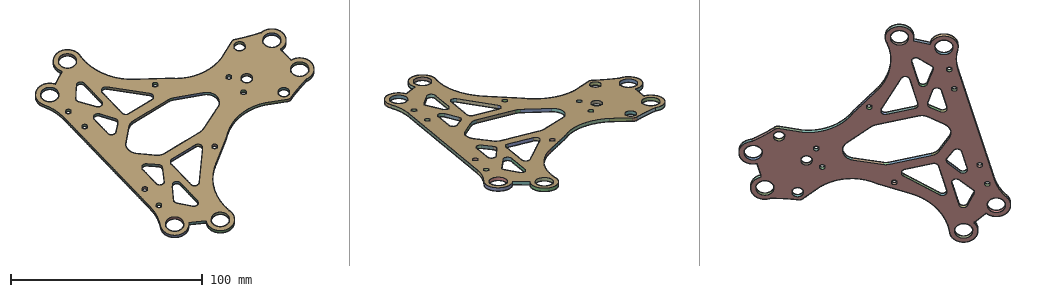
import cadquery as cq
import math

OVERALL_WIDTH = 146.5
THICKNESS = 2.0

PAIR_DISTANCE = 69.0
PAIR_HALF_SPACING = 12.0
RING_HOLE_DIAMETER = 9.5

HEAD_EDGE_START = (-19.3, 68.0)
HEAD_EDGE_MIDDLE = (-21.1, 62.0)
HEAD_EDGE_END = (-23.9, 54.5)
SHOULDER_TIP = (-24.3, 53.0)
SHOULDER_END = (-23.9, 51.5)
WAIST_START = (-18.6, 40.9)
WAIST_MIDDLE = (-17.1, 25.5)
WAIST_END = (-24.2, 11.7)
FLANK_START = (-34.3, -2.6)
FLANK_MIDDLE = (-46.1, -13.5)
FLANK_END = (-63.7, -16.8)
BASE_Y = -48.2
BASE_HALF_FLAT = 37.2

LARGE_HOLE_DIAMETER = 6.0
SMALL_HOLE_DIAMETER = 3.0
CENTRE_HOLE = (0, 43.3)
SHOULDER_HOLE = (-19.0, 53.2)
SMALL_HOLES = [(-6.3, 36.5), (-25.6, 2.8), (-39.0, -44.0), (-25.9, -43.2)]

POCKET_CORNER_RADIUS = 2.3
POCKETS = [
    [(-18.7, -22.3), (-18.7, 0.6), (-44.2, -22.3)],
    [(-55.2, -26.0), (-26.0, -26.0), (-42.2, -36.6)],
    [(-34.9, -36.3), (-9.7, -36.3), (-18.7, -26.4)],
]
WINDOW_CORNER_RADIUS = 6.6
WINDOW_HALF_WIDTH = 13.5
WINDOW_TOP = 32.7
WINDOW_UPPER_CORNER = 3.8
WINDOW_LOWER_CORNER = -23.3
WINDOW_BOTTOM = -37.2


def mirrored(point):
    return (-point[0], point[1])


def rotated(point, degrees):
    angle = math.radians(degrees)
    x, y = point
    return (x * math.cos(angle) - y * math.sin(angle), x * math.sin(angle) + y * math.cos(angle))


def with_mirror_images(points):
    return points + [mirrored(point) for point in points]


def prism(points, corner_radius):
    body = cq.Workplane("XY").polyline(points).close().extrude(THICKNESS)
    return body.edges("|Z").fillet(corner_radius)


def cylinders(points, diameter):
    return cq.Workplane("XY").pushPoints(points).circle(diameter / 2).extrude(THICKNESS)


head_ring = (-PAIR_HALF_SPACING, PAIR_DISTANCE)
ring_centres = [
    rotated(centre, angle) for angle in (0, 120, 240) for centre in with_mirror_images([head_ring])
]
side_ring = rotated(mirrored(head_ring), 120)
base_ring = rotated(head_ring, 120)

RING_RADIUS = OVERALL_WIDTH / 2 + side_ring[0]


def half_body():
    run = -BASE_HALF_FLAT - base_ring[0]
    rise = base_ring[1] - BASE_Y
    curve_radius = (run**2 + rise**2 - RING_RADIUS**2) / (2 * (RING_RADIUS - rise))
    curve_centre = (-BASE_HALF_FLAT, BASE_Y - curve_radius)
    sweep = math.atan2(run, rise + curve_radius)

    def base_curve_point(angle):
        return (
            curve_centre[0] - curve_radius * math.sin(angle),
            curve_centre[1] + curve_radius * math.cos(angle),
        )

    return (
        cq.Workplane("XY")
        .moveTo(0, PAIR_DISTANCE)
        .lineTo(*head_ring)
        .lineTo(*HEAD_EDGE_START)
        .threePointArc(HEAD_EDGE_MIDDLE, HEAD_EDGE_END)
        .threePointArc(SHOULDER_TIP, SHOULDER_END)
        .lineTo(*WAIST_START)
        .threePointArc(WAIST_MIDDLE, WAIST_END)
        .lineTo(*FLANK_START)
        .threePointArc(FLANK_MIDDLE, FLANK_END)
        .lineTo(*side_ring)
        .lineTo(*base_ring)
        .lineTo(*base_curve_point(sweep))
        .threePointArc(base_curve_point(sweep / 2), base_curve_point(0))
        .lineTo(0, BASE_Y)
        .close()
        .extrude(THICKNESS)
    )


half = half_body()
plate = half.union(half.mirror("YZ")).union(cylinders(ring_centres, 2 * RING_RADIUS))

plate = plate.cut(cylinders(ring_centres, RING_HOLE_DIAMETER))
plate = plate.cut(cylinders([CENTRE_HOLE] + with_mirror_images([SHOULDER_HOLE]), LARGE_HOLE_DIAMETER))
plate = plate.cut(cylinders(with_mirror_images(SMALL_HOLES), SMALL_HOLE_DIAMETER))

for corners in POCKETS:
    pocket = prism(corners, POCKET_CORNER_RADIUS)
    plate = plate.cut(pocket).cut(pocket.mirror("YZ"))

window_corners = [
    (0, WINDOW_TOP),
    (-WINDOW_HALF_WIDTH, WINDOW_UPPER_CORNER),
    (-WINDOW_HALF_WIDTH, WINDOW_LOWER_CORNER),
    (0, WINDOW_BOTTOM),
    (WINDOW_HALF_WIDTH, WINDOW_LOWER_CORNER),
    (WINDOW_HALF_WIDTH, WINDOW_UPPER_CORNER),
]
result = plate.cut(prism(window_corners, WINDOW_CORNER_RADIUS))